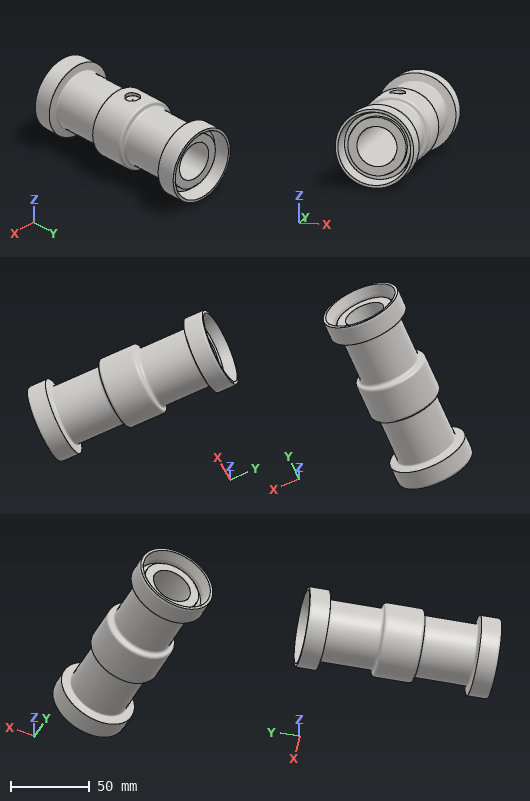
import cadquery as cq
import math

length = 124.0
half_length = length / 2
tube_radius = 40.0 / 2
bore_diameter = 26.0

flange_radius = 52.0 / 2
flange_back_y = 48.9
flange_back_angle = 10.0
flange_root_fillet = 1.0
rim_chamfer_radial = 0.4
rim_chamfer_length = 1.5

collar_radius = 48.0 / 2
collar_half_width = 13.0
collar_blend = (collar_radius - tube_radius) / 2

socket_mouth_radius = 47.5 / 2
socket_depth = 7.0
groove_outer_radius = 44.0 / 2
seat_radius = 38.0 / 2
groove_depth = 3.5

port_diameter = 10.0
port_depth = 2.5
pinhole_diameter = 0.5


def make_body():
    """Join the straight collar to a revolved, root-rounded tube end on each side."""
    taper = (flange_radius - tube_radius) * math.tan(math.radians(flange_back_angle))
    flange_root_y = flange_back_y - taper
    blend_mid_radius = tube_radius + collar_blend
    arc_offset = collar_blend * math.sqrt(0.5)
    collar_straight = collar_half_width - collar_blend

    collar = cq.Workplane("XZ").circle(collar_radius).extrude(collar_straight, both=True)
    end_profile = (
        cq.Workplane("XY")
        .moveTo(0, collar_straight)
        .lineTo(collar_radius, collar_straight)
        .threePointArc(
            (blend_mid_radius + arc_offset, collar_straight + arc_offset),
            (blend_mid_radius, collar_half_width),
        )
        .threePointArc(
            (blend_mid_radius - arc_offset, collar_half_width + collar_blend - arc_offset),
            (tube_radius, collar_half_width + collar_blend),
        )
        .lineTo(tube_radius, flange_root_y)
        .lineTo(flange_radius, flange_back_y)
        .lineTo(flange_radius, half_length - rim_chamfer_length)
        .lineTo(flange_radius - rim_chamfer_radial, half_length)
        .lineTo(0, half_length)
        .close()
    )
    end_body = end_profile.revolve(360, (0, 0, 0), (0, 1, 0))
    margin = flange_root_fillet / 8
    root_edge = cq.selectors.BoxSelector(
        (-flange_radius, flange_root_y - margin, -flange_radius),
        (flange_radius, flange_root_y + margin, flange_radius),
        boundingbox=True,
    )
    end_body = end_body.edges(root_edge).fillet(flange_root_fillet)
    return collar.union(end_body).union(end_body.mirror("XZ"))


def make_socket():
    """Return the cutter for the socket and groove at the +Y end."""
    seat_y = half_length - socket_depth
    groove_floor_y = seat_y - groove_depth
    return (
        cq.Workplane("XY")
        .moveTo(0, half_length)
        .lineTo(socket_mouth_radius, half_length)
        .lineTo(groove_outer_radius, seat_y)
        .lineTo(groove_outer_radius, groove_floor_y)
        .lineTo(seat_radius, groove_floor_y)
        .lineTo(seat_radius, seat_y)
        .lineTo(0, seat_y)
        .close()
        .revolve(360, (0, 0, 0), (0, 1, 0))
    )


def make_bore():
    return cq.Workplane("XZ").circle(bore_diameter / 2).extrude(half_length, both=True)


def make_port():
    """Return the cutter for the flat spotface and the pinhole into the bore."""
    spotface = (
        cq.Workplane("XY")
        .workplane(offset=collar_radius - port_depth)
        .circle(port_diameter / 2)
        .extrude(flange_radius)
    )
    pinhole = cq.Workplane("XY").circle(pinhole_diameter / 2).extrude(collar_radius)
    return spotface.union(pinhole)


socket = make_socket()
result = (
    make_body()
    .cut(socket)
    .cut(socket.mirror("XZ"))
    .cut(make_bore())
    .cut(make_port())
)